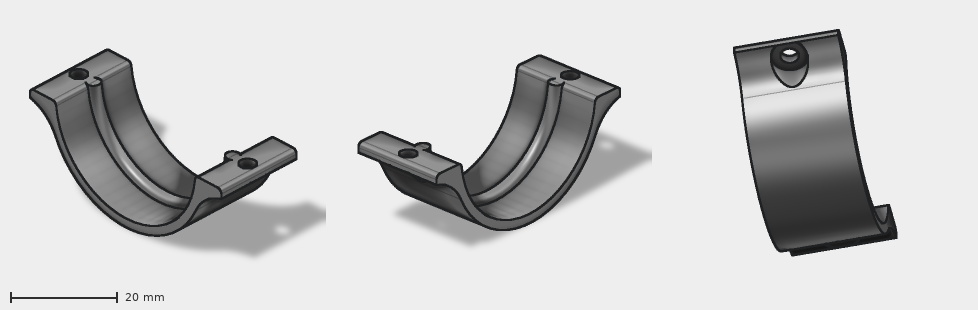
import cadquery as cq
import math

width = 20.0
bore_radius = 18.5
wall_thickness = 2.0
axis_height = 0.89
flange_half_span = 25.4
flange_edge_height = 2.1
underside_radius = 10.0
edge_fillet = 1.0

bead_radius = 1.5

screw_offset = 22.4
screw_hole_diameter = 3.5
screw_head_diameter = 7.0
screw_seat_depth = flange_edge_height

outer_radius = bore_radius + wall_thickness
bore_half_opening = math.sqrt(bore_radius**2 - axis_height**2)
bead_end_angle = math.degrees(math.asin(axis_height / bore_radius))


def blend_center():
    """Centre of the concave arc that passes through the flange edge and is tangent to the shell."""
    edge_x = flange_half_span
    edge_z = -flange_edge_height - axis_height
    edge_distance = math.hypot(edge_x, edge_z)
    center_distance = outer_radius + underside_radius
    cosine = (center_distance**2 + edge_distance**2 - underside_radius**2) / (
        2 * center_distance * edge_distance
    )
    angle = math.atan2(edge_z, edge_x) - math.acos(cosine)
    return center_distance * math.cos(angle), axis_height + center_distance * math.sin(angle)


def make_shell():
    center_x, center_z = blend_center()
    shell_share = outer_radius / (outer_radius + underside_radius)
    tangent_x = center_x * shell_share
    tangent_z = axis_height + (center_z - axis_height) * shell_share

    chord_x = (tangent_x + flange_half_span) / 2 - center_x
    chord_z = (tangent_z - flange_edge_height) / 2 - center_z
    stretch = underside_radius / math.hypot(chord_x, chord_z)
    blend_x = center_x + chord_x * stretch
    blend_z = center_z + chord_z * stretch

    profile = (
        cq.Workplane("XZ")
        .moveTo(-bore_half_opening, 0)
        .lineTo(-flange_half_span, 0)
        .lineTo(-flange_half_span, -flange_edge_height)
        .threePointArc((-blend_x, blend_z), (-tangent_x, tangent_z))
        .threePointArc((0, axis_height - outer_radius), (tangent_x, tangent_z))
        .threePointArc((blend_x, blend_z), (flange_half_span, -flange_edge_height))
        .lineTo(flange_half_span, 0)
        .lineTo(bore_half_opening, 0)
        .threePointArc((0, axis_height - bore_radius), (-bore_half_opening, 0))
        .close()
    )
    shell = profile.extrude(width / 2, both=True)
    return shell.faces(">Z").edges("|Y").fillet(edge_fillet)


def make_bead():
    """Round rib swept around the bore axis, its ends square to the sweep."""
    bead = (
        cq.Workplane("XY")
        .center(bore_radius, 0)
        .circle(bead_radius)
        .revolve(180 - 2 * bead_end_angle, (-bore_radius, 0), (-bore_radius, 1))
    )
    return bead.rotate((0, 0, 0), (0, 1, 0), bead_end_angle).translate((0, 0, axis_height))


def make_bead_root(side):
    """Half-round pad that carries the split face across the filleted lip to the bead end."""
    inner_x = side * bore_half_opening
    outer_x = side * (bore_half_opening + bead_radius)
    return (
        cq.Workplane("XY")
        .moveTo(inner_x, -bead_radius)
        .threePointArc((outer_x, 0), (inner_x, bead_radius))
        .close()
        .extrude(-edge_fillet)
    )


def make_screw_cut(side):
    """Through hole with a head seat opening downwards."""
    hole = (
        cq.Workplane("XY", origin=(side * screw_offset, 0, 0))
        .circle(screw_hole_diameter / 2)
        .extrude(-outer_radius)
    )
    seat = (
        cq.Workplane("XY", origin=(side * screw_offset, 0, -screw_seat_depth))
        .circle(screw_head_diameter / 2)
        .extrude(-outer_radius)
    )
    return hole.union(seat)


result = make_shell().union(make_bead())
for side in (-1, 1):
    result = result.union(make_bead_root(side)).cut(make_screw_cut(side))